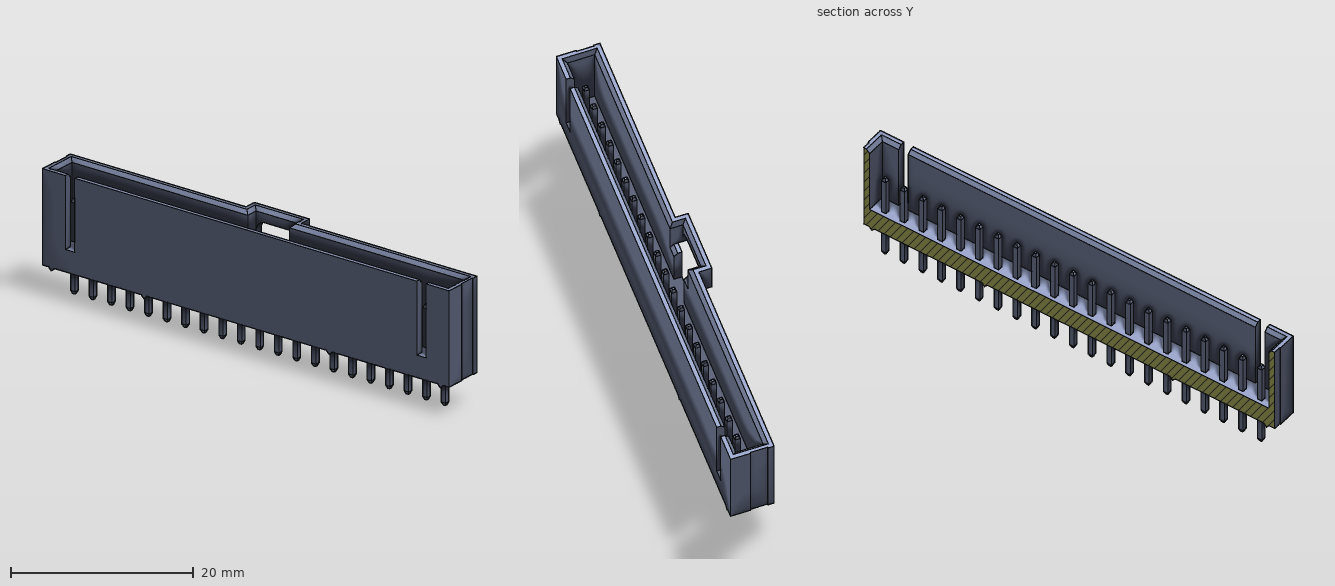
import cadquery as cq


length = 55.8
depth = 5.1
height = 11.5
rim_width = 0.5
lip_chamfer = 0.45
wall = rim_width + lip_chamfer
cavity_depth = 8.8
floor_z = height - cavity_depth

bridge_width = 7.6
bridge_projection = 1.5
bridge_height = 3.8
ledge_z = height - bridge_height
window_drop = 1.55
window_radius = 1.2

back_slot_width = 3.2
front_slot_width = 1.3
front_slot_offset = 24.1

groove_depth = 0.1
groove_front = 2.35
groove_back = 4.35

ridge_height = 0.4
ridge_half_width = 0.4
ridge_pitch_positions = (-10.5, -5.5, 4.5, 10.5)

pin_count = 21
pin_row_length = 50.85
pin_pitch = pin_row_length / (pin_count - 1)
pin_width = 0.6
pin_below = 3.6
pin_above_floor = 5.0
tip_width = 0.3
tip_length = 0.4

front_y = -depth / 2
back_y = depth / 2
inner_x = length / 2 - wall
inner_y = back_y - wall
opening_x = bridge_width / 2 - wall
opening_y = back_y + bridge_projection - wall


def box(x_range, y_range, z_range):
    """Axis-aligned box from its (low, high) limits."""
    size = [high - low for low, high in (x_range, y_range, z_range)]
    corner = (x_range[0], y_range[0], z_range[0])
    return cq.Workplane("XY").box(*size, centered=False).translate(corner)


def housing_block():
    """Outer block with the bridge block on its back wall."""
    block = box((-length / 2, length / 2), (front_y, back_y), (0, height))
    bridge = box(
        (-bridge_width / 2, bridge_width / 2),
        (inner_y, back_y + bridge_projection),
        (ledge_z, height),
    )
    return block.union(bridge)


def cavity_outline(margin):
    """Corners of the cavity and bridge opening, grown outwards by margin."""
    main_x = inner_x + margin
    main_y = inner_y + margin
    bridge_x = opening_x + margin
    bridge_y = opening_y + margin
    return [
        (-main_x, -main_y),
        (main_x, -main_y),
        (main_x, main_y),
        (bridge_x, main_y),
        (bridge_x, bridge_y),
        (-bridge_x, bridge_y),
        (-bridge_x, main_y),
        (-main_x, main_y),
    ]


def cavity():
    """Pin cavity, bridge opening and the chamfered lip around both."""
    main = box((-inner_x, inner_x), (-inner_y, inner_y), (floor_z, height))
    opening = box((-opening_x, opening_x), (0, opening_y), (ledge_z, height))
    lip = (
        cq.Workplane("XY", origin=(0, 0, height - lip_chamfer))
        .polyline(cavity_outline(0))
        .close()
        .workplane(offset=lip_chamfer)
        .polyline(cavity_outline(lip_chamfer))
        .close()
        .loft(ruled=True)
    )
    return main.union(opening).union(lip)


def ledge_chamfer():
    """Wedge that chamfers the inner edge of the ledge below the bridge."""
    return (
        cq.Workplane("YZ", origin=(-opening_x, 0, 0))
        .polyline([
            (inner_y, ledge_z - lip_chamfer),
            (inner_y + lip_chamfer, ledge_z),
            (inner_y, ledge_z),
        ])
        .close()
        .extrude(2 * opening_x)
    )


def bridge_window():
    """Window through the bridge wall, open below, with rounded upper corners."""
    top_z = height - window_drop
    window = box(
        (-opening_x, opening_x),
        (opening_y, back_y + bridge_projection),
        (ledge_z, top_z),
    )
    return window.edges(">Z and |Y").fillet(window_radius)


def wall_slot(centre_x, width, y_range, top_z):
    """Slot through a wall, running from the cavity floor up to top_z."""
    return box((centre_x - width / 2, centre_x + width / 2), y_range, (floor_z, top_z))


def end_groove(side):
    """Full-height groove in the end face on the given side (-1 or 1)."""
    outer = side * length / 2
    bottom = outer - side * groove_depth
    return box(
        (min(outer, bottom), max(outer, bottom)),
        (front_y + groove_front, front_y + groove_back),
        (0, height),
    )


def ridge(centre_x):
    """Triangular ridge across the underside of the housing."""
    return (
        cq.Workplane("XZ", origin=(centre_x, back_y, 0))
        .polyline([(-ridge_half_width, 0), (0, -ridge_height), (ridge_half_width, 0)])
        .close()
        .extrude(depth)
    )


def pin_tip(base_z, direction):
    """Tapered end of a pin, pointing up (1) or down (-1)."""
    return (
        cq.Workplane("XY", origin=(0, 0, base_z))
        .rect(pin_width, pin_width)
        .workplane(offset=direction * tip_length)
        .rect(tip_width, tip_width)
        .loft()
    )


def pin():
    """Square pin on the Z axis with a taper at both ends."""
    low = tip_length - pin_below
    high = floor_z + pin_above_floor - tip_length
    half = pin_width / 2
    shank = box((-half, half), (-half, half), (low, high))
    return shank.union(pin_tip(low, -1)).union(pin_tip(high, 1))


result = housing_block().cut(cavity()).cut(ledge_chamfer()).cut(bridge_window())
result = result.cut(wall_slot(0, back_slot_width, (inner_y, back_y), ledge_z))
for side in (-1, 1):
    result = result.cut(
        wall_slot(side * front_slot_offset, front_slot_width, (front_y, -inner_y), height)
    )
    result = result.cut(end_groove(side))

for position in ridge_pitch_positions:
    result = result.union(ridge(position * pin_pitch))

single_pin = pin()
for index in range(pin_count):
    pin_x = index * pin_pitch - pin_row_length / 2
    result = result.union(single_pin.translate((pin_x, 0, 0)))